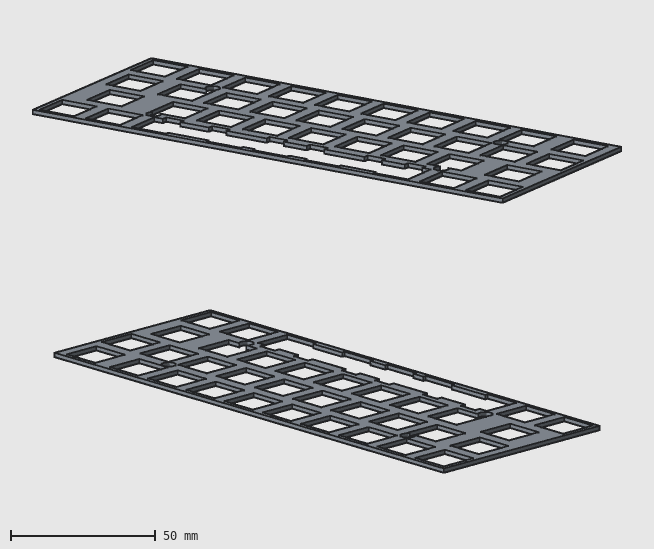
import cadquery as cq

plate_length = 194.3
plate_width = 74.5
plate_thickness = 1.6

layout_columns = 10.25
layout_rows = 4
side_trim = 0.5
layout_drop = 0.2
key_pitch = (plate_length + 2 * side_trim) / layout_columns

switch_size = 14.2
half_switch = switch_size / 2
screw_hole_diameter = 5.0

stabilizer_width = 7.2
stabilizer_rise = 2.1
tab_height = 1.28

switch_rows = [
    [0.5 + i for i in range(9)] + [9.625],
    [0.625] + [1.75 + i for i in range(9)],
    [0.875] + [2.25 + i for i in range(7)] + [9.5],
    [0.5, 1.5, 8.75, 9.75],
]
screw_columns = [2.0, 8.25]
screw_offset_y = 18.6

spacebar_switches = [2.5, 4.125, 5.125, 6.25, 7.75]
split_space_keys = [4.125, 6.25]
split_stabilizer_offset = 0.625


def column_x(column):
    return (column - layout_columns / 2) * key_pitch


def row_y(row):
    return (layout_rows / 2 - row) * key_pitch - layout_drop


def cutter(x_min, x_max, y_min, y_max):
    """Rectangular block as thick as the plate, used to cut through it."""
    return (
        cq.Workplane("XY")
        .box(x_max - x_min, y_max - y_min, plate_thickness)
        .translate(((x_min + x_max) / 2, (y_min + y_max) / 2, 0))
    )


def switch_cutouts():
    centres = [
        (column_x(column), row_y(row + 0.5))
        for row, columns in enumerate(switch_rows)
        for column in columns
    ]
    return (
        cq.Workplane("XY")
        .pushPoints(centres)
        .box(switch_size, switch_size, plate_thickness)
    )


def spacebar_opening():
    """Long opening with stabilizer notches on top and tabs along the bottom."""
    centre_y = row_y(layout_rows - 0.5)
    top = centre_y + half_switch
    bottom = centre_y - half_switch
    x_min = column_x(spacebar_switches[0]) - half_switch
    x_max = column_x(spacebar_switches[-1]) + half_switch
    opening = cutter(x_min, x_max, bottom + tab_height, top)

    for column in spacebar_switches:
        x = column_x(column)
        opening = opening.union(cutter(x - half_switch, x + half_switch, bottom, top))

    stabilizers = [spacebar_switches[0], spacebar_switches[-1]]
    for column in split_space_keys:
        stabilizers += [column - split_stabilizer_offset, column + split_stabilizer_offset]
    half_stabilizer = stabilizer_width / 2
    for column in stabilizers:
        x = column_x(column)
        notch = cutter(x - half_stabilizer, x + half_stabilizer, centre_y, top + stabilizer_rise)
        opening = opening.union(notch)
    return opening


def screw_holes():
    centres = [
        (column_x(column), side * screw_offset_y)
        for side in (1, -1)
        for column in screw_columns
    ]
    return (
        cq.Workplane("XY")
        .workplane(offset=-plate_thickness / 2)
        .pushPoints(centres)
        .circle(screw_hole_diameter / 2)
        .extrude(plate_thickness)
    )


plate = cq.Workplane("XY").box(plate_length, plate_width, plate_thickness)
result = plate.cut(switch_cutouts()).cut(spacebar_opening()).cut(screw_holes())